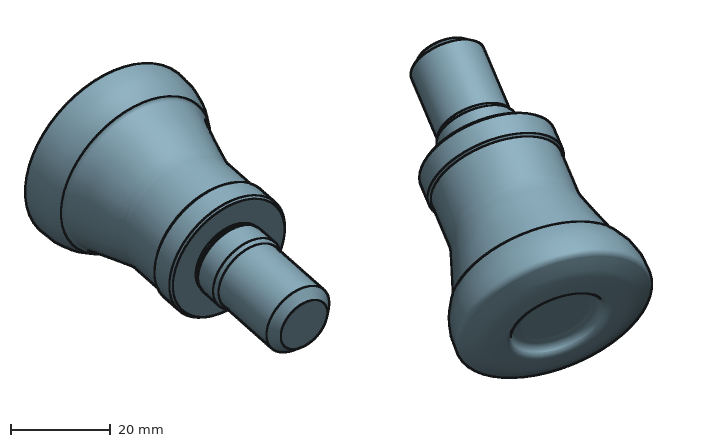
import cadquery as cq


total_length = 68.0
joint_x = 37.0

head_radius = 20.95
head_crest_x = 3.75
face_edge_x = 2.2
face_edge_radius = 20.0
face_bulge_x = 0.6
face_bulge_radius = 16.65
rim_bulge_x = 2.8
rim_bulge_radius = 20.7
shoulder_x = 12.1
shoulder_radius = 18.75
shoulder_bulge_x = 8.15
shoulder_bulge_radius = 20.5

cone_start_x = 12.85
cone_start_radius = 17.95
root_x = 12.4
root_radius = 18.3
cone_end_x = 24.0
cone_end_radius = 14.5
neck_start_x = 26.9
neck_radius = 28.0 / 2
blend_mid_x = 25.4
blend_mid_radius = 14.15

dish_lip_x = 0.035
dish_lip_radius = 11.6
dish_wall_radius = 10.0
dish_foot_radius = 8.15
dish_floor_radius = 7.3
dish_depth = 2.4
dish_lip_depth = 0.8
dish_foot_height = 0.2
dish_bulge_x = 1.7
dish_bulge_radius = 9.45
lip_bulge_x = 0.2
lip_bulge_radius = 10.6

flange_radius = 29.0 / 2
flange_end_x = 42.95
flange_chamfer = flange_radius - neck_radius
relief_radius = 16.6 / 2
relief_end_x = 43.6
collar_start_x = 44.05
collar_radius = 17.0 / 2
collar_end_x = 49.0
shank_start_x = 50.0
shank_radius = 15.8 / 2
tip_chamfer = 2.05


def turn(profile):
    """Revolve a closed (x, radius) profile a full turn about the X axis."""
    return profile.close().revolve(360, (0, 0, 0), (1, 0, 0))


def make_knob():
    """Flared hand knob with a shallow dish in its face."""
    profile = (
        cq.Workplane("XY")
        .moveTo(dish_depth, 0)
        .lineTo(dish_depth, dish_floor_radius)
        .lineTo(dish_depth - dish_foot_height, dish_foot_radius)
        .threePointArc((dish_bulge_x, dish_bulge_radius), (dish_lip_depth, dish_wall_radius))
        .threePointArc((lip_bulge_x, lip_bulge_radius), (dish_lip_x, dish_lip_radius))
        .threePointArc((face_bulge_x, face_bulge_radius), (face_edge_x, face_edge_radius))
        .threePointArc((rim_bulge_x, rim_bulge_radius), (head_crest_x, head_radius))
        .threePointArc((shoulder_bulge_x, shoulder_bulge_radius), (shoulder_x, shoulder_radius))
        .threePointArc((root_x, root_radius), (cone_start_x, cone_start_radius))
        .lineTo(cone_end_x, cone_end_radius)
        .threePointArc((blend_mid_x, blend_mid_radius), (neck_start_x, neck_radius))
        .lineTo(joint_x, neck_radius)
        .lineTo(joint_x, 0)
    )
    return turn(profile)


def make_stud():
    """Flanged stud with a relief, a collar and a chamfered shank."""
    profile = (
        cq.Workplane("XY")
        .moveTo(joint_x, 0)
        .lineTo(joint_x, neck_radius)
        .lineTo(joint_x + flange_chamfer, flange_radius)
        .lineTo(flange_end_x - flange_chamfer, flange_radius)
        .lineTo(flange_end_x, flange_radius - flange_chamfer)
        .lineTo(flange_end_x, relief_radius)
        .lineTo(relief_end_x, relief_radius)
        .lineTo(collar_start_x, collar_radius)
        .lineTo(collar_end_x, collar_radius)
        .lineTo(shank_start_x, shank_radius)
        .lineTo(total_length - tip_chamfer, shank_radius)
        .lineTo(total_length, shank_radius - tip_chamfer)
        .lineTo(total_length, 0)
    )
    return turn(profile)


knob = make_knob()
stud = make_stud()
result = cq.Compound.makeCompound([knob.val(), stud.val()])